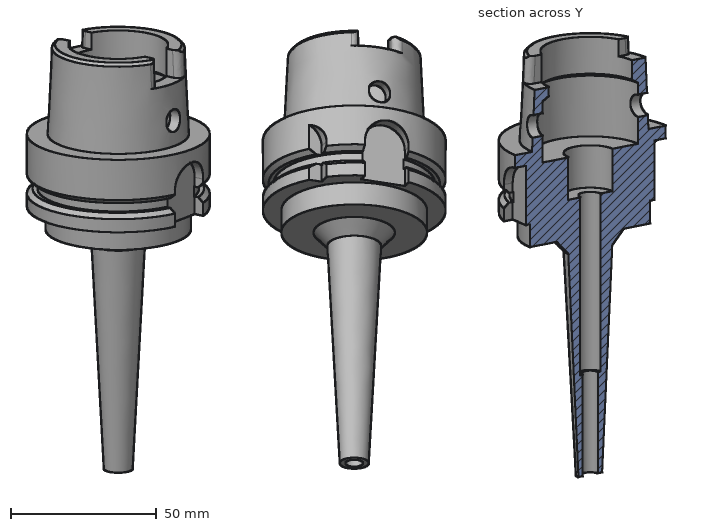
import cadquery as cq
import math

TOTAL_HEIGHT = 152.0
FLANGE_TOP_Z = 120.1
GROOVE_UPPER_Z = 105.6
GROOVE_LOWER_Z = 98.8
GROOVE_LIP = 1.7
FLANGE_BOTTOM_Z = 94.1
COLLAR_BOTTOM_Z = 85.9
STEM_TOP_Z = 80.9

SHANK_TOP_RADIUS = 22.8
SHANK_BASE_RADIUS = 24.3
FLANGE_RADIUS = 31.5
GROOVE_RADIUS = 27.8
GROOVE_EDGE_RADIUS = 29.5
COLLAR_RADIUS = 25.1
CONE_TOP_RADIUS = 14.0
STEM_TOP_RADIUS = 9.3
TIP_RADIUS = 5.0
RIM_CHAMFER = 1.0

MOUTH_RADIUS = 17.2
MOUTH_DEPTH = 13.2
CLAMP_RADIUS = 19.8
CLAMP_ANGLE = 60.0
CLAMP_FLOOR_Z = 115.5
COOLANT_RADIUS = 9.1
COOLANT_FLOOR_Z = 100.3
CHANNEL_RADIUS = 4.1
TOOL_RADIUS = 3.0
TOOL_SEAT_Z = 36.5

DRIVE_WIDTH = 12.3
DRIVE_DEPTH_LEFT = 6.1
DRIVE_DEPTH_RIGHT = 9.9
DRIVE_CORNER_RADIUS = 2.3

SIDE_HOLE_RADIUS = 4.0
SIDE_HOLE_Z = 129.0
NOTCH_RADIUS = 8.0
NOTCH_CENTER_Z = 107.3
NOTCH_FLOOR_X = 26.8
INDEX_FLOOR_X = 19.8
INDEX_WALL_Y = 19.9


def outer_body():
    lip = GROOVE_LIP
    profile = [
        (0, 0),
        (TIP_RADIUS, 0),
        (STEM_TOP_RADIUS, STEM_TOP_Z),
        (CONE_TOP_RADIUS, COLLAR_BOTTOM_Z),
        (COLLAR_RADIUS, COLLAR_BOTTOM_Z),
        (COLLAR_RADIUS, FLANGE_BOTTOM_Z),
        (FLANGE_RADIUS, FLANGE_BOTTOM_Z),
        (FLANGE_RADIUS, GROOVE_LOWER_Z),
        (GROOVE_EDGE_RADIUS, GROOVE_LOWER_Z + lip),
        (GROOVE_RADIUS, GROOVE_LOWER_Z + lip),
        (GROOVE_RADIUS, GROOVE_UPPER_Z - lip),
        (GROOVE_EDGE_RADIUS, GROOVE_UPPER_Z - lip),
        (FLANGE_RADIUS, GROOVE_UPPER_Z),
        (FLANGE_RADIUS, FLANGE_TOP_Z),
        (SHANK_BASE_RADIUS, FLANGE_TOP_Z),
        (SHANK_TOP_RADIUS, TOTAL_HEIGHT),
        (0, TOTAL_HEIGHT),
    ]
    return cq.Workplane("XZ").polyline(profile).close().revolve(360, (0, 0), (0, 1))


def stepped_bore():
    mouth_z = TOTAL_HEIGHT - MOUTH_DEPTH
    shoulder_height = (CLAMP_RADIUS - MOUTH_RADIUS) / math.tan(math.radians(CLAMP_ANGLE))
    profile = [
        (0, 0),
        (TOOL_RADIUS, 0),
        (TOOL_RADIUS, TOOL_SEAT_Z),
        (CHANNEL_RADIUS, TOOL_SEAT_Z),
        (CHANNEL_RADIUS, COOLANT_FLOOR_Z),
        (COOLANT_RADIUS, COOLANT_FLOOR_Z),
        (COOLANT_RADIUS, CLAMP_FLOOR_Z),
        (CLAMP_RADIUS, CLAMP_FLOOR_Z),
        (CLAMP_RADIUS, mouth_z - shoulder_height),
        (MOUTH_RADIUS, mouth_z),
        (MOUTH_RADIUS, TOTAL_HEIGHT),
        (0, TOTAL_HEIGHT),
    ]
    return cq.Workplane("XZ").polyline(profile).close().revolve(360, (0, 0), (0, 1))


def drive_slot(side, depth):
    """Rim slot opening toward side (-1 or +1) along X."""
    return (
        cq.Workplane("XY", origin=(side * FLANGE_RADIUS / 2, 0, TOTAL_HEIGHT - depth))
        .rect(FLANGE_RADIUS, DRIVE_WIDTH)
        .extrude(depth)
    )


def round_drive_corners(body, side, depth):
    """Round the outer upright edges of the driver slot on the given side."""
    wall_middle_radius = (MOUTH_RADIUS + SHANK_TOP_RADIUS) / 2
    near, far = sorted((side * wall_middle_radius, side * FLANGE_RADIUS))
    low = (near, -DRIVE_WIDTH, TOTAL_HEIGHT - 0.75 * depth)
    high = (far, DRIVE_WIDTH, TOTAL_HEIGHT - 0.25 * depth)
    return body.edges(cq.selectors.BoxSelector(low, high)).fillet(DRIVE_CORNER_RADIUS)


def rim_chamfer_cutter():
    profile = [
        (SHANK_TOP_RADIUS - RIM_CHAMFER, TOTAL_HEIGHT),
        (SHANK_TOP_RADIUS + RIM_CHAMFER, TOTAL_HEIGHT),
        (SHANK_TOP_RADIUS + RIM_CHAMFER, TOTAL_HEIGHT - 2 * RIM_CHAMFER),
    ]
    return cq.Workplane("XZ").polyline(profile).close().revolve(360, (0, 0), (0, 1))


def arched_notch(side, floor_x, center_y):
    """Round-topped notch cut inward along X, open at the flange bottom."""
    drop = NOTCH_CENTER_Z - FLANGE_BOTTOM_Z
    return (
        cq.Workplane("YZ", origin=(side * floor_x, center_y, NOTCH_CENTER_Z))
        .moveTo(-NOTCH_RADIUS, -drop)
        .lineTo(-NOTCH_RADIUS, 0)
        .threePointArc((0, NOTCH_RADIUS), (NOTCH_RADIUS, 0))
        .lineTo(NOTCH_RADIUS, -drop)
        .close()
        .extrude(side * FLANGE_RADIUS)
    )


def side_hole():
    return (
        cq.Workplane("YZ", origin=(-FLANGE_RADIUS, 0, SIDE_HOLE_Z))
        .circle(SIDE_HOLE_RADIUS)
        .extrude(2 * FLANGE_RADIUS)
    )


result = outer_body().cut(stepped_bore())
for slot_side, slot_depth in ((-1, DRIVE_DEPTH_LEFT), (1, DRIVE_DEPTH_RIGHT)):
    result = result.cut(drive_slot(slot_side, slot_depth))
    result = round_drive_corners(result, slot_side, slot_depth)
result = result.cut(rim_chamfer_cutter())

for notch_side in (-1, 1):
    result = result.cut(arched_notch(notch_side, NOTCH_FLOOR_X, 0))
result = result.cut(arched_notch(-1, INDEX_FLOOR_X, INDEX_WALL_Y + NOTCH_RADIUS))
result = result.cut(side_hole())